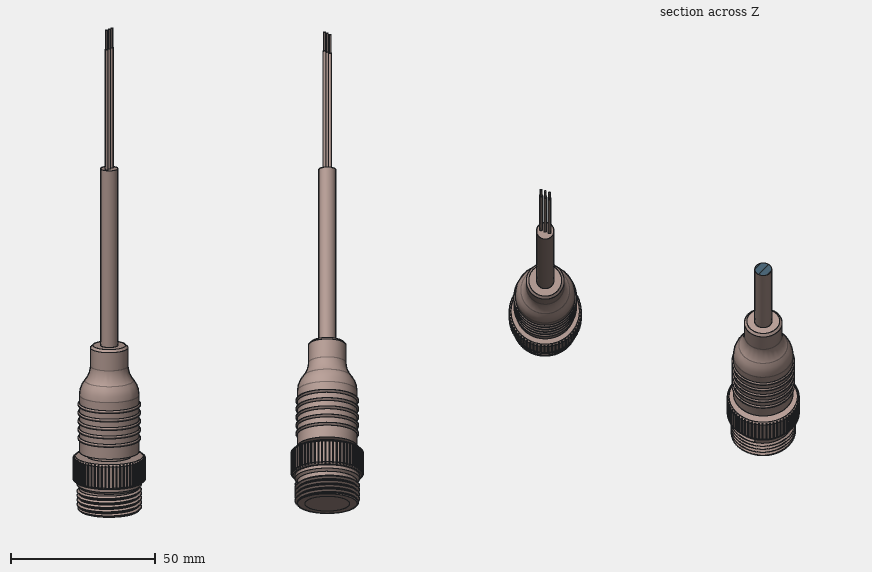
import cadquery as cq
TOTAL_HEIGHT = 172.1
WIRE_LENGTH = 49.9
STRIPPED_LENGTH = 6.9
WIRE_RADIUS = 0.5
CONDUCTOR_RADIUS = 0.3
WIRE_PITCH = 1.5
WIRE_COUNT = 3
CABLE_DIAMETER = 6.0
CABLE_RADIUS = CABLE_DIAMETER / 2
CABLE_TOP = TOTAL_HEIGHT - WIRE_LENGTH

GRIP_BOTTOM = 20.8
GRIP_TOP = 58.9
GRIP_RADIUS = 10.3
COLLAR_RADIUS = 6.5
COLLAR_CHAMFER = 0.9
SHOULDER_BOTTOM = 41.1
SHOULDER_HEIGHT = 10.3
NECK_RADIUS = 7.7

RIB_COUNT = 5
RIB_SPAN = 12.0
RIB_PITCH = RIB_SPAN / (RIB_COUNT - 1)
RIB_RADIUS = 0.5
LOWEST_RIB = 25.6

RING_BOTTOM = 10.3
RING_TOP = 19.3
RING_DIAMETER = 25.0
RING_RADIUS = RING_DIAMETER / 2
RING_CHAMFER = 0.7
KNURL_COUNT = 60
KNURL_WIDTH = 0.3
KNURL_DEPTH = 0.3

COLLAR_UNDER_RING_RADIUS = 11.2
COLLAR_UNDER_RING_BOTTOM = 9.1
RELIEF_TOP = 8.3
THREAD_TOP = 7.4
THREAD_ROOT_RADIUS = 10.3
THREAD_DEPTH = 0.9
THREAD_PITCH = 1.58
THREAD_BASE_WIDTH = 1.46
THREAD_START = -0.7
THREAD_OVERLAP = 0.2
THREAD_END_CHAMFER = 1.0


def cylinder(radius, bottom, top, y=0.0):
    """Upright cylinder between two heights, centred at the given Y."""
    return cq.Workplane("XY", origin=(0, y, bottom)).circle(radius).extrude(top - bottom)


def make_grip():
    """Turned grip: neck, ribbed barrel, S-shaped shoulder and chamfered collar."""
    half_height = SHOULDER_HEIGHT / 2
    half_step = (GRIP_RADIUS - COLLAR_RADIUS) / 2
    middle = (COLLAR_RADIUS + half_step, SHOULDER_BOTTOM + half_height)
    profile = (
        cq.Workplane("XZ")
        .moveTo(0, 0)
        .lineTo(NECK_RADIUS, 0)
        .lineTo(NECK_RADIUS, GRIP_BOTTOM)
        .lineTo(GRIP_RADIUS, GRIP_BOTTOM)
        .lineTo(GRIP_RADIUS, SHOULDER_BOTTOM)
        .tangentArcPoint(middle, relative=False)
        .tangentArcPoint((COLLAR_RADIUS, SHOULDER_BOTTOM + SHOULDER_HEIGHT), relative=False)
        .lineTo(COLLAR_RADIUS, GRIP_TOP - COLLAR_CHAMFER)
        .lineTo(COLLAR_RADIUS - COLLAR_CHAMFER, GRIP_TOP)
        .lineTo(0, GRIP_TOP)
        .close()
    )
    grip = profile.revolve(360, (0, 0, 0), (0, 1, 0))
    for i in range(RIB_COUNT):
        height = LOWEST_RIB + i * RIB_PITCH
        rib = cq.Solid.makeTorus(GRIP_RADIUS, RIB_RADIUS, cq.Vector(0, 0, height))
        grip = grip.union(cq.Workplane(obj=rib))
    return grip


def make_wire(y):
    """One insulated wire with its bare conductor end."""
    insulation = cylinder(WIRE_RADIUS, CABLE_TOP, TOTAL_HEIGHT - STRIPPED_LENGTH, y)
    conductor = cylinder(CONDUCTOR_RADIUS, CABLE_TOP, TOTAL_HEIGHT, y)
    return insulation.union(conductor)


def make_cable():
    """Grip, cable jacket and the row of wires as one moulded body."""
    cable = make_grip().union(cylinder(CABLE_RADIUS, GRIP_TOP, CABLE_TOP))
    for i in range(WIRE_COUNT):
        cable = cable.union(make_wire((i - (WIRE_COUNT - 1) / 2) * WIRE_PITCH))
    return cable


def make_knurled_ring():
    """Chamfered ring with narrow square-edged grooves evenly spaced around its rim."""
    ring = cylinder(RING_RADIUS, RING_BOTTOM, RING_TOP).edges().chamfer(RING_CHAMFER)
    grooves = (
        cq.Workplane("XY", origin=(0, 0, RING_BOTTOM))
        .polarArray(RING_RADIUS, 0, 360, KNURL_COUNT)
        .rect(2 * KNURL_DEPTH, KNURL_WIDTH)
        .extrude(RING_TOP - RING_BOTTOM)
    )
    return ring.cut(grooves)


def make_threaded_end():
    """Stepped spigot below the ring, with a helical thread ridge."""
    spigot = (
        cq.Workplane("XZ")
        .polyline([
            (0, 0),
            (THREAD_ROOT_RADIUS, 0),
            (THREAD_ROOT_RADIUS, RELIEF_TOP),
            (COLLAR_UNDER_RING_RADIUS, COLLAR_UNDER_RING_BOTTOM),
            (COLLAR_UNDER_RING_RADIUS, RING_BOTTOM),
            (0, RING_BOTTOM),
        ])
        .close()
        .revolve(360, (0, 0, 0), (0, 1, 0))
    )
    inner = THREAD_ROOT_RADIUS - THREAD_OVERLAP
    crest = THREAD_ROOT_RADIUS + THREAD_DEPTH
    half_base = THREAD_BASE_WIDTH / 2
    start = cq.Vector(0, 0, THREAD_START)
    helix = cq.Wire.makeHelix(THREAD_PITCH, THREAD_TOP - THREAD_START, inner, start)
    ridge = (
        cq.Workplane("XZ")
        .polyline([
            (inner, THREAD_START - half_base),
            (crest, THREAD_START),
            (inner, THREAD_START + half_base),
        ])
        .close()
        .sweep(cq.Workplane(obj=helix), isFrenet=True)
    )
    envelope = cylinder(crest + THREAD_OVERLAP, 0, RING_BOTTOM).faces("<Z").chamfer(THREAD_END_CHAMFER)
    return spigot.union(ridge.intersect(envelope))


def make_coupling():
    """Knurled ring and threaded end, bored through for the grip's neck."""
    coupling = make_knurled_ring().union(make_threaded_end())
    return coupling.cut(cylinder(NECK_RADIUS, 0, RING_TOP))


cable = make_cable()
coupling = make_coupling()
result = cq.Compound.makeCompound([cable.solids().val(), coupling.solids().val()])